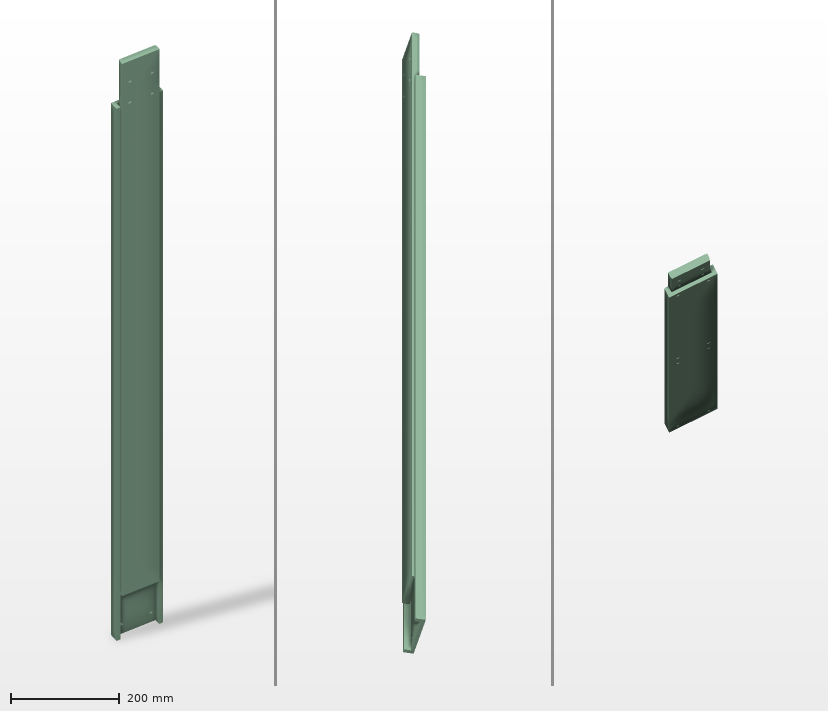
import cadquery as cq

total_length = 1408.0
extension = 108.0
rail_length = total_length - extension
total_depth = 24.0

outer_width = 100.0
outer_depth = 20.0
web_thickness = 7.0
wall_thickness = 8.0
channel_width = outer_width - 2 * wall_thickness

clearance = 3.0
side_clearance = 1.0
inner_width = channel_width - 2 * side_clearance
inner_back = web_thickness + clearance
inner_chamfer_depth = 4.0
inner_chamfer_width = 1.0

hole_diameter = 7.0
outer_hole_spacing = 63.0
inner_hole_spacing = 48.0
hole_pitch = 50.0
outer_hole_end_distance = 24.0
inner_hole_end_distance = 49.0


def block(x_start, depth, width):
    """Block as long as a rail, centred on Y and standing on Z = 0."""
    box = cq.Workplane("XY").box(depth, width, rail_length, centered=(False, True, False))
    return box.translate((x_start, 0, 0))


def hole_pairs(spacing, heights):
    """Cylinders along X, one pair at each height, long enough to pass through either rail."""
    centres = [(side * spacing / 2, z) for z in heights for side in (-1, 1)]
    return cq.Workplane("YZ").pushPoints(centres).circle(hole_diameter / 2).extrude(total_depth)


def make_outer_rail():
    channel = block(0, outer_depth, outer_width)
    channel = channel.cut(block(web_thickness, outer_depth, channel_width))
    middle = rail_length / 2
    heights = [
        outer_hole_end_distance,
        middle - hole_pitch / 2,
        middle + hole_pitch / 2,
        rail_length - outer_hole_end_distance,
    ]
    return channel.cut(hole_pairs(outer_hole_spacing, heights))


def make_inner_rail():
    half_width = inner_width / 2
    front_half_width = half_width - inner_chamfer_width
    shoulder = inner_back + inner_chamfer_depth
    profile = [
        (inner_back, -front_half_width),
        (shoulder, -half_width),
        (total_depth, -half_width),
        (total_depth, half_width),
        (shoulder, half_width),
        (inner_back, front_half_width),
    ]
    bar = cq.Workplane("XY").workplane(offset=extension).polyline(profile).close().extrude(rail_length)
    top_hole = total_length - inner_hole_end_distance
    heights = [top_hole, top_hole - hole_pitch]
    return bar.cut(hole_pairs(inner_hole_spacing, heights))


outer_rail = make_outer_rail()
inner_rail = make_inner_rail()

result = cq.Compound.makeCompound([outer_rail.val(), inner_rail.val()])